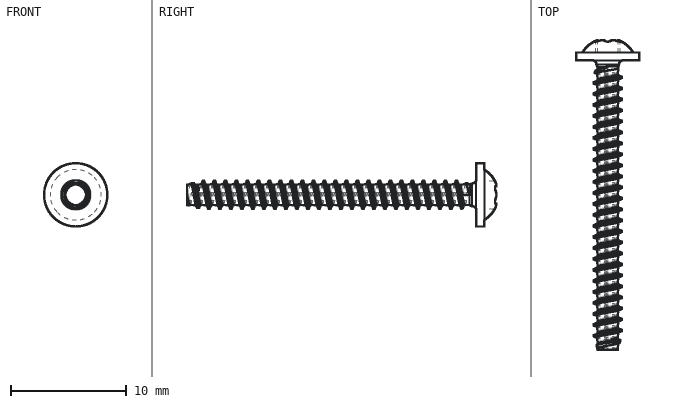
import cadquery as cq
import math


total_length = 26.77
flange_diameter = 5.5

flange_thickness = 0.7
dome_diameter = 4.4
rim_height = 1.07

socket_lobe_radius = 1.2
socket_valley_radius = 0.88
socket_depth = 1.07
socket_lobes = 6
socket_points_per_lobe = 8

core_radius = 0.88
neck_radius = 1.0
neck_fillet = 0.35
neck_taper = 0.25

crest_diameter = 2.5
root_overlap = 0.013
step_radius = 0.95
crest_half_width = 0.03
step_half_width = 0.13
head_foot_reach = 0.27
tip_foot_reach = 0.54
counted_turns = 24
counted_turns_length = 22.8
crest_depth_at_x = 1.47
neck_runout_start = 0.5
neck_runout_length = 0.83
tip_runout_length = 1.35
cutter_margin = 0.13
cutter_overrun = 2.68

head_height = flange_thickness + rim_height
shank_length = total_length - head_height
flange_radius = flange_diameter / 2
crest_radius = crest_diameter / 2
pitch = counted_turns_length / counted_turns
dome_base_radius = dome_diameter / 2

sphere_offset = (dome_base_radius**2 - socket_valley_radius**2 - rim_height**2) / (2 * rim_height)
sphere_radius = math.hypot(dome_base_radius, sphere_offset)
crown_height = sphere_radius - sphere_offset


def head_and_core():
    """Head, neck and plain core as one revolved body."""
    arc_angle = math.atan2(dome_base_radius, sphere_offset) / 2
    arc_middle = (
        sphere_radius * math.sin(arc_angle),
        flange_thickness - sphere_offset + sphere_radius * math.cos(arc_angle),
    )
    fillet_reach = neck_fillet * (1 - math.sqrt(0.5))
    return (
        cq.Workplane("XZ")
        .moveTo(0, -shank_length)
        .lineTo(core_radius, -shank_length)
        .lineTo(core_radius, -neck_fillet - neck_taper)
        .lineTo(neck_radius, -neck_fillet)
        .threePointArc(
            (neck_radius + fillet_reach, -fillet_reach),
            (neck_radius + neck_fillet, 0),
        )
        .lineTo(flange_radius, 0)
        .lineTo(flange_radius, flange_thickness)
        .lineTo(dome_base_radius, flange_thickness)
        .threePointArc(arc_middle, (0, flange_thickness + crown_height))
        .close()
        .revolve(360, (0, 0, 0), (0, 1, 0))
    )


def drive_socket():
    """Six-lobe prism with lobes pointing along +Y and -Y."""
    middle_radius = (socket_lobe_radius + socket_valley_radius) / 2
    lobe_wave = (socket_lobe_radius - socket_valley_radius) / 2
    point_count = socket_lobes * socket_points_per_lobe
    points = []
    for i in range(point_count):
        angle = 2 * math.pi * i / point_count
        radius = middle_radius - lobe_wave * math.cos(socket_lobes * angle)
        points.append((radius * math.cos(angle), radius * math.sin(angle)))
    return (
        cq.Workplane("XY", origin=(0, 0, head_height - socket_depth))
        .spline(points, periodic=True)
        .close()
        .extrude(2 * socket_depth)
    )


def thread_ridge():
    """Helical ridge, longer than needed at both ends."""
    turns = math.ceil((shank_length - crest_depth_at_x) / pitch) + 1
    start_z = -crest_depth_at_x - turns * pitch
    helix = cq.Wire.makeHelix(pitch, (turns + 1) * pitch, core_radius, cq.Vector(0, 0, start_z))
    buried_radius = core_radius - root_overlap
    rise = step_radius - core_radius
    sink = core_radius - buried_radius
    buried_head_reach = head_foot_reach + sink * (head_foot_reach - step_half_width) / rise
    buried_tip_reach = tip_foot_reach + sink * (tip_foot_reach - step_half_width) / rise
    profile = [
        (buried_radius, buried_head_reach),
        (step_radius, step_half_width),
        (crest_radius, crest_half_width),
        (crest_radius, -crest_half_width),
        (step_radius, -step_half_width),
        (buried_radius, -buried_tip_reach),
    ]
    return (
        cq.Workplane("XZ", origin=(0, 0, start_z))
        .polyline(profile)
        .close()
        .sweep(cq.Workplane(obj=helix), isFrenet=True)
    )


def runout_cutter(end_z, inward_sign, runout_length):
    """Ring that trims the ridge beyond end_z and makes it fade out of the core there."""
    taper_slope = runout_length / (crest_radius - core_radius)
    outer_radius = crest_radius + cutter_margin
    taper_end_z = end_z + inward_sign * taper_slope * (outer_radius - core_radius)
    outside_z = end_z - inward_sign * cutter_overrun
    return (
        cq.Workplane("XZ")
        .polyline([
            (0, outside_z),
            (0, end_z),
            (core_radius, end_z),
            (outer_radius, taper_end_z),
            (outer_radius, outside_z),
        ])
        .close()
        .revolve(360, (0, 0, 0), (0, 1, 0))
    )


tip_cutter = runout_cutter(-shank_length, 1, tip_runout_length)
neck_cutter = runout_cutter(-neck_runout_start, -1, neck_runout_length)
thread = thread_ridge().cut(tip_cutter).cut(neck_cutter)
upright_screw = head_and_core().cut(drive_socket()).union(thread)
result = upright_screw.rotate((0, 0, 0), (1, 0, 0), -90)